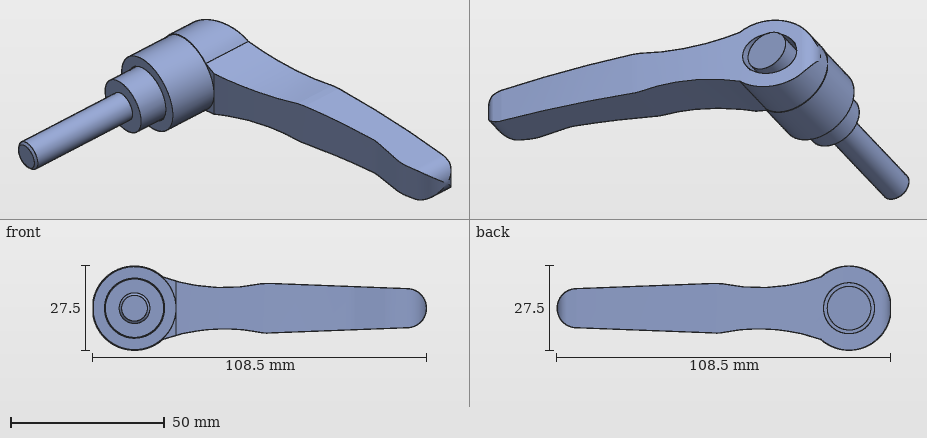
import cadquery as cq
import math


hub_diameter = 27.0
hub_length = 17.0
collar_diameter = 19.0
collar_projection = 10.0
collar_bore_diameter = 19.6
collar_bore_bottom = -hub_length / 2
stud_diameter = 10.0
stud_projection = 40.0
stud_chamfer = 0.8

overall_length = 108.49

head_diameter = 27.47
head_corner_radius = 5.8
hub_core_top = 4.5
recess_diameter = 16.6
button_diameter = 14.2
button_top = 15.9

flat_x = -13.49
chin = (88.6, 23.8)
back_start = (flat_x, 8.65)
back_middle = (31.4, 24.7)
back_end = (chin[0], 35.5)
crest = (91.8, 35.67)
tip_x = overall_length - hub_diameter / 2
nose = (tip_x, 32.0)
nose_crest_middle = (94.1, 34.7)
nose_belly_middle = (93.35, 27.4)
grip_flat_y = 22.1
grip_flat_end_x = 81.5
grip_flat_start_x = 71.65
grip_curve_end = (85.7, 22.75)
belly_end = (69.1, 21.75)
belly_middle = (41.3, 12.9)
belly_start = (18.0, 2.3)

handle_start_x = 9.2
waist_x = 29.0
waist_half_width = 6.72
waist_radius = 60.0
bulge_start_x = 41.3
bulge_end = (43.9, 8.1)
grip_end = (chin[0], 6.4)
plan_height = crest[1] + 5.0


def rod(diameter, y_start, y_end):
    """Cylinder on the stud axis between two heights."""
    return cq.Workplane("XZ", origin=(0, y_start, 0)).circle(diameter / 2).extrude(y_start - y_end)


def lever_profile():
    """Side shape of the lever, spread over the full head width."""
    outline = (
        cq.Workplane("XY")
        .moveTo(flat_x, 0)
        .lineTo(hub_diameter / 2, 0)
        .lineTo(*belly_start)
        .threePointArc(belly_middle, belly_end)
        .tangentArcPoint((grip_flat_start_x, grip_flat_y), relative=False)
        .lineTo(grip_flat_end_x, grip_flat_y)
        .tangentArcPoint(grip_curve_end, relative=False)
        .lineTo(*chin)
        .threePointArc(nose_belly_middle, nose)
        .threePointArc(nose_crest_middle, crest)
        .lineTo(*back_end)
        .threePointArc(back_middle, back_start)
        .close()
    )
    solid = outline.extrude(head_diameter / 2, both=True)
    corner = cq.selectors.NearestToPointSelector((*back_start, 0))
    return solid.edges("|Z").edges(corner).fillet(head_corner_radius)


def waist_half_width_at(x):
    """Half width of the waisted side at a distance along the handle."""
    return waist_half_width + waist_radius - math.sqrt(waist_radius**2 - (x - waist_x) ** 2)


def lever_plan(height):
    """Round head and waisted handle outline, extruded from y = 0 along +Y."""
    root_half = math.sqrt((head_diameter / 2) ** 2 - handle_start_x**2)
    bulge_half = waist_half_width_at(bulge_start_x)
    grip_x, grip_half = grip_end
    handle = (
        cq.Workplane("XZ")
        .moveTo(handle_start_x, -root_half)
        .threePointArc((waist_x, -waist_half_width), (bulge_start_x, -bulge_half))
        .tangentArcPoint((bulge_end[0], -bulge_end[1]), relative=False)
        .lineTo(grip_x, -grip_half)
        .threePointArc((tip_x, 0), grip_end)
        .lineTo(*bulge_end)
        .lineTo(bulge_start_x, bulge_half)
        .threePointArc((waist_x, waist_half_width), (handle_start_x, root_half))
        .close()
        .extrude(-height)
    )
    return rod(head_diameter, 0, height).union(handle)


def lever():
    """Lever body around the hub core, with the round recess for the release button."""
    body = lever_profile().intersect(lever_plan(plan_height))
    body = body.union(rod(hub_diameter, 0, hub_core_top))
    return body.cut(rod(recess_diameter, 0, plan_height))


def hub():
    """Hub bored from below for the collar."""
    return rod(hub_diameter, -hub_length, 0).cut(rod(collar_bore_diameter, -hub_length, collar_bore_bottom))


def clamping_stud():
    """Collar and chamfered stud."""
    collar_end = -hub_length - collar_projection
    stud_end = collar_end - stud_projection
    stud = rod(stud_diameter, stud_end, collar_end).faces("<Y").chamfer(stud_chamfer)
    return rod(collar_diameter, collar_end, collar_bore_bottom).union(stud)


button = rod(button_diameter, 0, button_top)
result = lever().union(hub()).union(clamping_stud()).union(button)